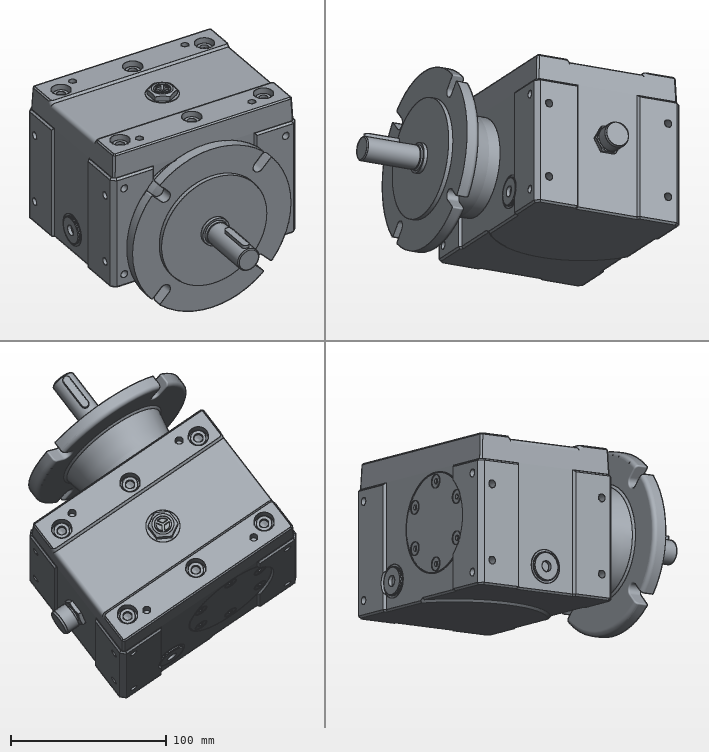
import cadquery as cq
import math


HOUSING_LENGTH = 105.0
HOUSING_WIDTH = 140.0
HOUSING_BOTTOM = -50.0
HOUSING_TOP = 34.3
CENTER_X = HOUSING_LENGTH / 2
CENTER_Y = 17.2
CORNER_CHAMFER = 3.2
HOUSING_EDGE_CHAMFER = 1.3
FLANK_DEPTH = 1.7
FLANK_SLOPE = 1.3
END_FLANK_HALF = 39.4
SIDE_FLANK_HALF = 22.5
FOOT_HEIGHT = 1.7
FOOT_RADIUS = 60.0
FOOT_CENTER_Y = 51.1

CAP_TOP = 51.5
CAP_DRAFT = 2.5
CAP_CORNER_CHAMFER = 1.3
CAP_EDGE_CHAMFER = 1.0
CHANNEL_DEPTH = 1.5
CHANNEL_FLOOR_HALF = 26.1
CHANNEL_END_RADIUS = 3.0
CHANNEL_FLOOR = CAP_TOP - CHANNEL_DEPTH

CAP_SCREW_X = 36.2
CAP_SCREW_PITCH_Y = 54.3
SCREW_POCKET_DIAMETER = 13.0
SCREW_POCKET_DEPTH = 6.5
SCREW_HEAD_DIAMETER = 10.0
SCREW_HEAD_HEIGHT = 3.4
SCREW_SOCKET_DIAMETER = 6.0
SCREW_SOCKET_DEPTH = 2.2
DOWEL_X = 41.0
DOWEL_Y = 42.5
HOLE_DIAMETER = 5.0
HOLE_DEPTH = 7.5

PAD_HOLE_Z = -6.9
END_HOLE_Y = 61.2
END_HOLE_HALF_Z = 32.5
SIDE_HOLE_X = 43.0
SIDE_HOLE_HALF_Z = 25.0
DRILL_POINT_ANGLE = 118

COVER_BORE_DIAMETER = 66.0
COVER_DIAMETER = 65.0
COVER_GAP_DEPTH = 1.0
COVER_SCREWS = 6
COVER_SCREW_CIRCLE_RADIUS = 27.0
COVER_SCREW_DIAMETER = 9.0
COVER_SCREW_SINK = 0.5
COVER_SOCKET_DIAMETER = 3.4
COVER_SOCKET_DEPTH = 1.9

PLUG_SEAT_DIAMETER = 22.0
PLUG_SEAT_DEPTH = 0.4
PLUG_DIAMETER = 19.0
PLUG_HEIGHT = 1.5
PLUG_CHAMFER = 0.5
PLUG_SOCKET_DIAMETER = 7.0
PLUG_SOCKET_DEPTH = 2.6
PLUG_Z = -31.1
END_PLUG_Y = 47.5

HEX_ACROSS_FLATS = 17.0
HEX_ACROSS_CORNERS = HEX_ACROSS_FLATS / math.cos(math.pi / 6)
SIGHT_HEIGHT = 4.0
SIGHT_BEVEL = 1.3
SIGHT_TOP_DIAMETER = 14.2
SIGHT_RIM_DIAMETER = 11.0
SIGHT_WINDOW_DIAMETER = 8.8
SIGHT_RIM_DEPTH = 0.5
SIGHT_WINDOW_DEPTH = 1.7
SPOKE_WIDTH = 1.7
BREATHER_HEX_HEIGHT = 2.8
BREATHER_HEX_BEVEL = 0.5
BREATHER_STEM_DIAMETER = 11.0
BREATHER_CAP_DIAMETER = 17.0
BREATHER_CAP_START_Y = 90.0
BREATHER_TOP_Y = 100.0
BREATHER_RIM_WIDTH = 0.5
BREATHER_RIM_HEIGHT = 1.5

NECK_DIAMETER = 66.0
NECK_END_X = 111.2
CONE_END_DIAMETER = 74.2
CONE_END_X = 130.5
CONE_ROOT_DIAMETER = 77.5
FLANGE_START_X = 131.9
FLANGE_END_X = 141.0
FLANGE_DIAMETER = 120.0
FLANGE_ROUND = 2.8
SLOT_WIDTH = 8.0
SLOT_CIRCLE_RADIUS = 50.0
SLOT_EDGE_ROUND = 1.0
SPIGOT_DIAMETER = 79.6
SPIGOT_END_X = 144.0
COLLAR_DIAMETER = 20.0
COLLAR_END_X = 146.4
LIP_DIAMETER = 17.0
LIP_END_X = 147.3
GROOVE_DIAMETER = 15.1
SHAFT_START_X = 148.0
SHAFT_END_X = 186.5
SHAFT_DIAMETER = 16.0
SHAFT_CHAMFER = 0.7
KEY_START_X = 159.5
KEY_END_X = 184.6
KEY_WIDTH = 5.0
KEY_TOP = 10.0

END_FLANK_X = FLANK_DEPTH
SIDE_FLANK_Y = CENTER_Y - HOUSING_WIDTH / 2 + FLANK_DEPTH
BACK_FLANK_Y = CENTER_Y + HOUSING_WIDTH / 2 - FLANK_DEPTH


def mirrored(solid, normal):
    """Copy of a solid mirrored about the housing's mid plane."""
    return solid.mirror(normal, (CENTER_X, CENTER_Y, 0))


def rod(start, direction, diameter, length):
    """Cylinder from a start point along a direction."""
    return cq.Workplane(cq.Solid.makeCylinder(diameter / 2, length, cq.Vector(*start), cq.Vector(*direction)))


def drilled(start, direction, diameter, depth):
    """Blind hole with a conical drill point."""
    point_length = diameter / 2 / math.tan(math.radians(DRILL_POINT_ANGLE / 2))
    tip_base = cq.Vector(*start) + cq.Vector(*direction) * depth
    point = cq.Solid.makeCone(diameter / 2, 0, point_length, tip_base, cq.Vector(*direction))
    return rod(start, direction, diameter, depth).union(cq.Workplane(point))


def hexagon_plug(plane, height, bevel, top_diameter):
    """Hexagon with a corner along X, its outer end bevelled by a cone."""
    prism = cq.Workplane(plane).polygon(6, HEX_ACROSS_CORNERS).extrude(height)
    blank_radius = HEX_ACROSS_CORNERS / 2
    bevel_start = plane.origin + plane.zDir * (height - bevel)
    cone = cq.Solid.makeCone(blank_radius, top_diameter / 2, bevel, bevel_start, plane.zDir)
    blank = cq.Workplane(plane).circle(blank_radius).extrude(height - bevel).union(cq.Workplane(cone))
    return prism.intersect(blank)


def flank_recesses(bottom):
    """Shallow recesses with sloped edges, one on each of the four sides."""
    height = HOUSING_TOP - bottom
    base = cq.Workplane("XY", origin=(0, 0, bottom))
    end_recess = base.polyline([
        (0, CENTER_Y - END_FLANK_HALF),
        (FLANK_DEPTH, CENTER_Y - END_FLANK_HALF + FLANK_SLOPE),
        (FLANK_DEPTH, CENTER_Y + END_FLANK_HALF - FLANK_SLOPE),
        (0, CENTER_Y + END_FLANK_HALF),
    ]).close().extrude(height)
    side_y = CENTER_Y - HOUSING_WIDTH / 2
    side_recess = base.polyline([
        (CENTER_X - SIDE_FLANK_HALF, side_y),
        (CENTER_X - SIDE_FLANK_HALF + FLANK_SLOPE, side_y + FLANK_DEPTH),
        (CENTER_X + SIDE_FLANK_HALF - FLANK_SLOPE, side_y + FLANK_DEPTH),
        (CENTER_X + SIDE_FLANK_HALF, side_y),
    ]).close().extrude(height)
    return [end_recess, mirrored(end_recess, "YZ"), side_recess, mirrored(side_recess, "XZ")]


def housing_block(bottom):
    """Block with corner pads, chamfered along its top and bottom outlines."""
    block = (
        cq.Workplane("XY", origin=(CENTER_X, CENTER_Y, bottom))
        .rect(HOUSING_LENGTH, HOUSING_WIDTH).extrude(HOUSING_TOP - bottom)
    )
    block = block.edges("|Z").chamfer(CORNER_CHAMFER)
    block = block.faces(">Z").edges().chamfer(HOUSING_EDGE_CHAMFER)
    for recess in flank_recesses(bottom):
        block = block.cut(recess)
    return block.faces("<Z").edges().chamfer(HOUSING_EDGE_CHAMFER)


def make_housing():
    """Padded block whose underside steps down to a round-ended foot."""
    foot_reach = FOOT_HEIGHT + HOUSING_EDGE_CHAMFER
    foot_limit = cq.Workplane(cq.Solid.makeCone(
        FOOT_RADIUS, FOOT_RADIUS + foot_reach, foot_reach,
        cq.Vector(CENTER_X, FOOT_CENTER_Y, HOUSING_BOTTOM)))
    back_half = (
        cq.Workplane("XY", origin=(CENTER_X, FOOT_CENTER_Y + HOUSING_WIDTH / 2, HOUSING_BOTTOM))
        .rect(HOUSING_LENGTH, HOUSING_WIDTH).extrude(foot_reach)
    )
    back_block = back_half.union(foot_limit).intersect(housing_block(HOUSING_BOTTOM))
    return housing_block(HOUSING_BOTTOM + FOOT_HEIGHT).union(back_block)


def make_cap():
    """Drafted cap with a shallow channel along Y that is rounded off at both ends."""
    cap = (
        cq.Workplane("XY", origin=(CENTER_X, CENTER_Y, HOUSING_TOP))
        .rect(HOUSING_LENGTH - 2 * FLANK_DEPTH, HOUSING_WIDTH - 2 * FLANK_DEPTH)
        .extrude(CAP_TOP - HOUSING_TOP, taper=CAP_DRAFT)
    )
    cap = cap.edges("not(#Z)").chamfer(CAP_CORNER_CHAMFER)
    cap = cap.faces(">Z").edges().chamfer(CAP_EDGE_CHAMFER)
    channel = (
        cq.Workplane("XZ", origin=(CENTER_X, CENTER_Y, CHANNEL_FLOOR))
        .polyline([
            (-CHANNEL_FLOOR_HALF - CHANNEL_DEPTH, CHANNEL_DEPTH),
            (-CHANNEL_FLOOR_HALF, 0),
            (CHANNEL_FLOOR_HALF, 0),
            (CHANNEL_FLOOR_HALF + CHANNEL_DEPTH, CHANNEL_DEPTH),
        ]).close().extrude(HOUSING_WIDTH / 2, both=True)
    )
    cap = cap.cut(channel)
    reach_x = CHANNEL_FLOOR_HALF + CHANNEL_DEPTH
    reach_y = FLANK_DEPTH
    low_z = CHANNEL_FLOOR - CHANNEL_DEPTH / 4
    high_z = CHANNEL_FLOOR + CHANNEL_DEPTH / 2
    for end in (-1, 1):
        end_y = CENTER_Y + end * (HOUSING_WIDTH / 2 - FLANK_DEPTH)
        channel_end = cq.selectors.BoxSelector(
            (CENTER_X - reach_x, end_y - reach_y, low_z),
            (CENTER_X + reach_x, end_y + reach_y, high_z))
        cap = cap.edges(channel_end).fillet(CHANNEL_END_RADIUS)
    return cap


def add_cap_screws(body):
    """Sunk socket screws in two rows, and plain dowel holes beside the outer ones."""
    for side in (-1, 1):
        for row in (-1, 0, 1):
            x = CENTER_X + side * CAP_SCREW_X
            y = CENTER_Y + row * CAP_SCREW_PITCH_Y
            floor = CAP_TOP - SCREW_POCKET_DEPTH
            head_top = floor + SCREW_HEAD_HEIGHT
            body = body.cut(rod((x, y, CAP_TOP), (0, 0, -1), SCREW_POCKET_DIAMETER, SCREW_POCKET_DEPTH))
            body = body.union(rod((x, y, floor), (0, 0, 1), SCREW_HEAD_DIAMETER, SCREW_HEAD_HEIGHT))
            body = body.cut(drilled((x, y, head_top), (0, 0, -1), SCREW_SOCKET_DIAMETER, SCREW_SOCKET_DEPTH))
        for row in (-1, 1):
            start = (CENTER_X + side * DOWEL_X, CENTER_Y + row * DOWEL_Y, CAP_TOP)
            body = body.cut(rod(start, (0, 0, -1), HOLE_DIAMETER, HOLE_DEPTH))
    return body


def cut_pad_holes(body):
    """Four drilled holes in the pads of each of the four sides."""
    for across in (-1, 1):
        for up in (-1, 1):
            end_start = (0, CENTER_Y + across * END_HOLE_Y, PAD_HOLE_Z + up * END_HOLE_HALF_Z)
            end_hole = drilled(end_start, (1, 0, 0), HOLE_DIAMETER, HOLE_DEPTH)
            side_start = (
                CENTER_X + across * SIDE_HOLE_X,
                CENTER_Y - HOUSING_WIDTH / 2,
                PAD_HOLE_Z + up * SIDE_HOLE_HALF_Z,
            )
            side_hole = drilled(side_start, (0, 1, 0), HOLE_DIAMETER, HOLE_DEPTH)
            body = body.cut(end_hole).cut(mirrored(end_hole, "YZ"))
            body = body.cut(side_hole).cut(mirrored(side_hole, "XZ"))
    return body


def add_cover(body):
    """Round cover flush with the -X recess, in a bore that also clears the pad beside it."""
    body = body.cut(rod((0, 0, 0), (1, 0, 0), COVER_BORE_DIAMETER, END_FLANK_X + COVER_GAP_DEPTH))
    body = body.union(rod((END_FLANK_X, 0, 0), (1, 0, 0), COVER_DIAMETER, 2 * COVER_GAP_DEPTH))
    for number in range(COVER_SCREWS):
        angle = math.pi / 2 + 2 * math.pi * number / COVER_SCREWS
        y = COVER_SCREW_CIRCLE_RADIUS * math.cos(angle)
        z = COVER_SCREW_CIRCLE_RADIUS * math.sin(angle)
        body = body.cut(rod((END_FLANK_X, y, z), (1, 0, 0), COVER_SCREW_DIAMETER, COVER_SCREW_SINK))
        body = body.cut(drilled((END_FLANK_X, y, z), (1, 0, 0), COVER_SOCKET_DIAMETER, COVER_SOCKET_DEPTH))
    return body


def add_oil_plugs(body):
    """Socket plugs on the -X, +X and -Y sides, each in a round seat."""
    end_origin = (END_FLANK_X, END_PLUG_Y, PLUG_Z)
    opposite_origin = (HOUSING_LENGTH - END_FLANK_X, END_PLUG_Y, PLUG_Z)
    side_origin = (CENTER_X, SIDE_FLANK_Y, PLUG_Z)
    for origin, normal in (
        (end_origin, (-1, 0, 0)),
        (opposite_origin, (1, 0, 0)),
        (side_origin, (0, -1, 0)),
    ):
        outward = cq.Vector(*normal)
        seat_start = (cq.Vector(*origin) - outward * PLUG_SEAT_DEPTH).toTuple()
        plug_top = (cq.Vector(*seat_start) + outward * PLUG_HEIGHT).toTuple()
        body = body.cut(rod(seat_start, normal, PLUG_SEAT_DIAMETER, PLUG_SEAT_DEPTH + FLANK_DEPTH))
        plug = rod(seat_start, normal, PLUG_DIAMETER, PLUG_HEIGHT)
        plug = plug.faces(cq.selectors.DirectionMinMaxSelector(outward)).edges().chamfer(PLUG_CHAMFER)
        body = body.union(plug)
        body = body.cut(rod(plug_top, (-outward).toTuple(), PLUG_SOCKET_DIAMETER, PLUG_SOCKET_DEPTH))
    return body


def add_sight_plug(body):
    """Hexagon plug in the channel with a round window divided by three spokes."""
    seat_z = CHANNEL_FLOOR - PLUG_SEAT_DEPTH
    body = body.cut(rod((CENTER_X, CENTER_Y, seat_z), (0, 0, 1), PLUG_SEAT_DIAMETER, CAP_TOP - seat_z))
    plug = hexagon_plug(
        cq.Plane((CENTER_X, CENTER_Y, seat_z), (1, 0, 0), (0, 0, 1)),
        SIGHT_HEIGHT + PLUG_SEAT_DEPTH, SIGHT_BEVEL, SIGHT_TOP_DIAMETER)
    top = (CENTER_X, CENTER_Y, CHANNEL_FLOOR + SIGHT_HEIGHT)
    plug = plug.cut(rod(top, (0, 0, -1), SIGHT_RIM_DIAMETER, SIGHT_RIM_DEPTH))
    window = rod(top, (0, 0, -1), SIGHT_WINDOW_DIAMETER, SIGHT_WINDOW_DEPTH)
    for angle in (30, 150, 270):
        spoke = (
            cq.Workplane("XY").center(SIGHT_WINDOW_DIAMETER / 2, 0)
            .rect(SIGHT_WINDOW_DIAMETER, SPOKE_WIDTH).extrude(-SIGHT_WINDOW_DEPTH)
            .rotate((0, 0, 0), (0, 0, 1), angle).translate(top)
        )
        window = window.cut(spoke)
    return body.union(plug.cut(window))


def add_breather(body):
    """Breather on the +Y side: hexagon, stem and round cap."""
    plane = cq.Plane((CENTER_X, BACK_FLANK_Y, 0), (1, 0, 0), (0, 1, 0))
    hexagon = hexagon_plug(plane, BREATHER_HEX_HEIGHT, BREATHER_HEX_BEVEL, HEX_ACROSS_FLATS)
    stem_length = BREATHER_CAP_START_Y - BACK_FLANK_Y
    stem = rod((CENTER_X, BACK_FLANK_Y, 0), (0, 1, 0), BREATHER_STEM_DIAMETER, stem_length)
    cap_length = BREATHER_TOP_Y - BREATHER_CAP_START_Y
    cap = rod((CENTER_X, BREATHER_CAP_START_Y, 0), (0, 1, 0), BREATHER_CAP_DIAMETER, cap_length)
    cap = cap.faces(">Y").chamfer(BREATHER_RIM_HEIGHT, BREATHER_RIM_WIDTH)
    return body.union(hexagon).union(stem).union(cap)


def make_flange():
    """Slotted mounting flange, rounded on the edges that face the housing."""
    flange = rod((FLANGE_START_X, 0, 0), (1, 0, 0), FLANGE_DIAMETER, FLANGE_END_X - FLANGE_START_X)
    flange = flange.faces("<X").edges().fillet(FLANGE_ROUND)
    slot_reach = FLANGE_DIAMETER
    slot = (
        cq.Workplane("YZ", origin=(FLANGE_START_X, 0, 0))
        .moveTo(slot_reach, -SLOT_WIDTH / 2)
        .lineTo(SLOT_CIRCLE_RADIUS, -SLOT_WIDTH / 2)
        .threePointArc((SLOT_CIRCLE_RADIUS - SLOT_WIDTH / 2, 0), (SLOT_CIRCLE_RADIUS, SLOT_WIDTH / 2))
        .lineTo(slot_reach, SLOT_WIDTH / 2)
        .close().extrude(FLANGE_END_X - FLANGE_START_X)
    )
    for angle in (45, 135, 225, 315):
        flange = flange.cut(slot.rotate((0, 0, 0), (1, 0, 0), angle))
    return flange.faces("<X").edges("not(%CIRCLE)").fillet(SLOT_EDGE_ROUND)


def make_output():
    """Turned neck, spigot, collar and shaft in one profile, with the flange and key."""
    profile = [
        (CENTER_X, 0),
        (CENTER_X, NECK_DIAMETER / 2),
        (NECK_END_X, NECK_DIAMETER / 2),
        (CONE_END_X, CONE_END_DIAMETER / 2),
        (FLANGE_START_X, CONE_ROOT_DIAMETER / 2),
        (FLANGE_END_X, SPIGOT_DIAMETER / 2),
        (SPIGOT_END_X, SPIGOT_DIAMETER / 2),
        (SPIGOT_END_X, COLLAR_DIAMETER / 2),
        (COLLAR_END_X, COLLAR_DIAMETER / 2),
        (COLLAR_END_X, LIP_DIAMETER / 2),
        (LIP_END_X, GROOVE_DIAMETER / 2),
        (SHAFT_START_X, GROOVE_DIAMETER / 2),
        (SHAFT_START_X, SHAFT_DIAMETER / 2),
        (SHAFT_END_X - SHAFT_CHAMFER, SHAFT_DIAMETER / 2),
        (SHAFT_END_X, SHAFT_DIAMETER / 2 - SHAFT_CHAMFER),
        (SHAFT_END_X, 0),
    ]
    turned = cq.Workplane("XY").polyline(profile).close().revolve(360, (0, 0, 0), (1, 0, 0))
    key = (
        cq.Workplane("XY").center((KEY_START_X + KEY_END_X) / 2, 0)
        .slot2D(KEY_END_X - KEY_START_X, KEY_WIDTH).extrude(KEY_TOP)
    )
    return turned.union(make_flange()).union(key)


result = make_housing().union(make_cap())
result = add_cover(result)
result = result.union(make_output())
result = cut_pad_holes(result)
result = add_cap_screws(result)
result = add_oil_plugs(result)
result = add_sight_plug(result)
result = add_breather(result)